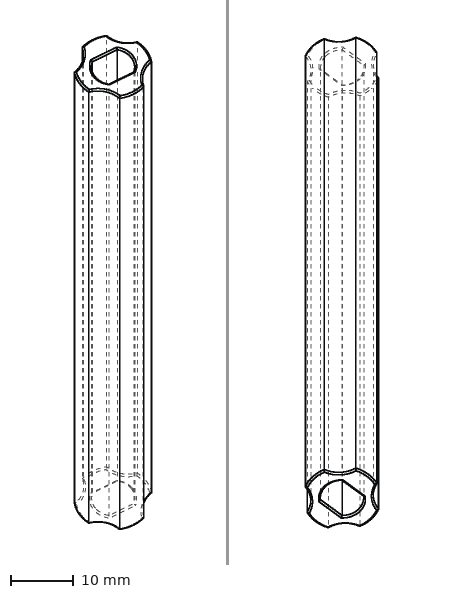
import cadquery as cq
import math

length = 118.8
outer_diameter = 12.5

lobe_width = 4.5
flute_bottom_radius = 5.0

bore_diameter = 6.9
bore_flat_distance = 5.1

end_chamfer = 0.3


def rotated(point, angle):
    """Turn an XY point about the origin by an angle in radians."""
    x, y = point
    return (
        x * math.cos(angle) - y * math.sin(angle),
        x * math.sin(angle) + y * math.cos(angle),
    )


def make_fluted_bar():
    """Bar with four round-tipped lobes on the X and Y axes, joined by concave flutes."""
    quarter_turn = math.pi / 2
    outer_radius = outer_diameter / 2
    corner_y = lobe_width / 2
    corner_x = math.sqrt(outer_radius**2 - corner_y**2)
    lobe_start = (corner_x, -corner_y)
    lobe_tip = (outer_radius, 0)
    lobe_end = (corner_x, corner_y)
    flute_bottom = rotated((flute_bottom_radius, 0), quarter_turn / 2)

    outline = cq.Workplane("XY").moveTo(*lobe_start)
    for quarter in range(4):
        angle = quarter * quarter_turn
        next_lobe_start = rotated(lobe_start, angle + quarter_turn)
        outline = outline.threePointArc(rotated(lobe_tip, angle), rotated(lobe_end, angle))
        outline = outline.threePointArc(rotated(flute_bottom, angle), next_lobe_start)
    return outline.close().extrude(length)


def make_bore():
    """Double-D bore through the whole length."""
    round_bore = cq.Workplane("XY").circle(bore_diameter / 2).extrude(length)
    flats = cq.Workplane("XY").rect(bore_flat_distance, bore_diameter).extrude(length)
    return round_bore.intersect(flats)


tube = make_fluted_bar().cut(make_bore())
result = tube.faces("<Z or >Z").chamfer(end_chamfer)